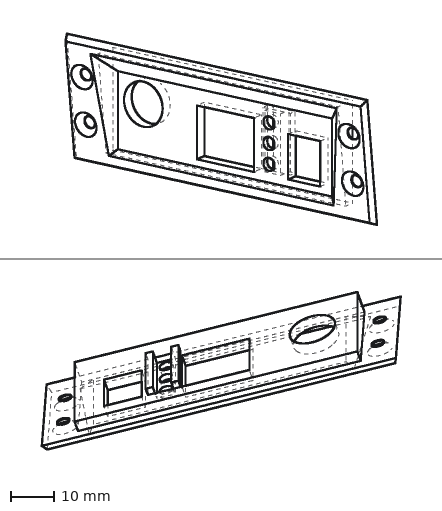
import cadquery as cq
import math

plate_width = 85.4
plate_length = 31.6
plate_thickness = 1.8
tilt = math.radians(7)
side_bevel = 0.8
end_bevel = 1.1

block_width = 68.1
block_top = 12.3
block_bottom = -12.6

rib_back = 9.65
rib_depth = 1.8
rib_thickness = 1.7
rib_spacing = 6.15
rib_top = 5.8
rib_bottom = -9.1
block_back = rib_back - rib_depth

floor_y = 4.8
floor_width = 60.9
floor_top = 8.0
floor_bottom = -10.9
recess_wall_angle = math.radians(45)
recess_reach = 6.0

button_diameter = 10.9
button_x = -23.2
button_z = 1.4
lamp_diameter = 3.2
lamp_x = 12.5
lamp_z = -1.45
lamp_pitch = 5.0
lamp_floor_thickness = 1.5
opening_bottom = -9.1
large_opening_x = 0.1
large_opening_width = 16.2
large_opening_height = 13.1
small_opening_x = 22.45
small_opening_width = 9.05
small_opening_height = 11.0

screw_diameter = 3.0
countersink_diameter = 6.1
countersink_angle = 90
screw_spacing_x = 75.8
screw_spacing_along = 12.0
screw_offset_along = 0.4

plate_y = (
    (plate_length / 2 - end_bevel) * math.sin(tilt)
    + plate_thickness * math.cos(tilt)
)


def tilted_plane(height=0):
    """Workplane parallel to the plate, a given height in front of its back face."""
    forward = cq.Vector(0, -math.cos(tilt), -math.sin(tilt))
    origin = cq.Vector(0, plate_y, 0) + forward * height
    return cq.Workplane(cq.Plane(origin, xDir=(1, 0, 0), normal=forward))


def upright(y):
    """Workplane facing -Y, with local axes along X and Z."""
    return cq.Workplane("XZ", origin=(0, y, 0))


def make_plate():
    return (
        tilted_plane()
        .rect(plate_width, plate_length)
        .workplane(offset=plate_thickness)
        .rect(plate_width - 2 * side_bevel, plate_length - 2 * end_bevel)
        .loft(combine=True)
    )


def make_block():
    embed = plate_thickness / 2

    def front_y(z):
        return plate_y - embed - z * math.tan(tilt)

    profile = [
        (block_back, block_top),
        (front_y(block_top), block_top),
        (front_y(block_bottom), block_bottom),
        (block_back, block_bottom),
    ]
    return cq.Workplane("YZ").polyline(profile).close().extrude(block_width / 2, both=True)


def make_ribs():
    centers = [(lamp_x + side * rib_spacing / 2, (rib_top + rib_bottom) / 2) for side in (-1, 1)]
    return (
        upright(rib_back)
        .pushPoints(centers)
        .rect(rib_thickness, rib_top - rib_bottom)
        .extrude(rib_depth)
    )


def make_lamp_pocket():
    return (
        upright(block_back)
        .center(lamp_x, (rib_top + rib_bottom) / 2)
        .rect(rib_spacing - rib_thickness, rib_top - rib_bottom)
        .extrude(block_back - floor_y - lamp_floor_thickness)
    )


def make_recess():
    floor_height = floor_top - floor_bottom
    spread = recess_reach * math.tan(recess_wall_angle)
    return (
        upright(floor_y)
        .center(0, (floor_top + floor_bottom) / 2)
        .rect(floor_width, floor_height)
        .workplane(offset=recess_reach)
        .rect(floor_width + 2 * spread, floor_height + 2 * spread)
        .loft(combine=True)
    )


def round_openings(centers, diameter):
    return upright(block_back).pushPoints(centers).circle(diameter / 2).extrude(block_back)


def rectangular_opening(center_x, width, height):
    return (
        upright(block_back)
        .center(center_x, opening_bottom + height / 2)
        .rect(width, height)
        .extrude(block_back)
    )


def drill_screw_holes(body):
    return (
        tilted_plane(plate_thickness)
        .add(body)
        .center(0, screw_offset_along)
        .rarray(screw_spacing_x, screw_spacing_along, 2, 2)
        .cskHole(screw_diameter, countersink_diameter, countersink_angle)
    )


lamp_centers = [(lamp_x, lamp_z + step * lamp_pitch) for step in (-1, 0, 1)]

body = make_plate().union(make_block()).union(make_ribs()).cut(make_recess())
body = body.cut(make_lamp_pocket())
body = body.cut(round_openings([(button_x, button_z)], button_diameter))
body = body.cut(round_openings(lamp_centers, lamp_diameter))
body = body.cut(rectangular_opening(large_opening_x, large_opening_width, large_opening_height))
body = body.cut(rectangular_opening(small_opening_x, small_opening_width, small_opening_height))
result = drill_screw_holes(body)